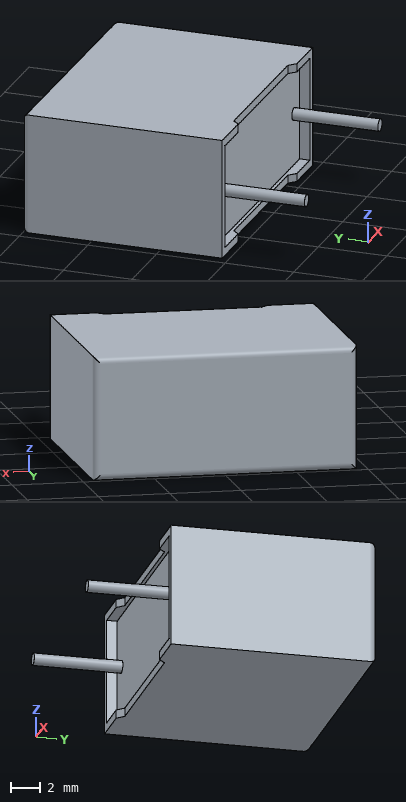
import cadquery as cq

total_length = 20.1
case_width = 18.5
case_height = 8.7
case_length = 14.57
wall = 0.6
back_edge_radius = 0.48

notch_depth = 0.48
notch_mouth_width = 12.02
notch_floor_width = 11.0

resin_recess = 0.75
pin_diameter = 0.88
pin_pitch = 15.0

cavity_width = case_width - 2 * wall
cavity_height = case_height - 2 * wall
cavity_depth = case_length - wall
pin_tip_y = case_length - total_length
pin_length = resin_recess - pin_tip_y


def centred_block(width, height, start_y, length):
    """Block centred on X and Z that runs along +Y from start_y."""
    return cq.Workplane("XY").box(width, length, height, centered=(True, False, True)).translate((0, start_y, 0))


def make_case():
    """Open box with a rounded closed end and a notch across its rim."""
    body = centred_block(case_width, case_height, 0, case_length)
    body = body.faces(">Y").edges().fillet(back_edge_radius)
    cavity = centred_block(cavity_width, cavity_height, 0, cavity_depth)
    notch = (
        cq.Workplane("XY")
        .polyline([
            (-notch_mouth_width / 2, 0),
            (notch_mouth_width / 2, 0),
            (notch_floor_width / 2, notch_depth),
            (-notch_floor_width / 2, notch_depth),
        ])
        .close()
        .extrude(case_height / 2, both=True)
    )
    return body.cut(cavity).cut(notch)


def make_resin():
    """Fill of the cavity, set back from the rim."""
    return centred_block(cavity_width, cavity_height, resin_recess, cavity_depth - resin_recess)


def make_pin(x):
    """Round pin standing on the resin face."""
    return (
        cq.Workplane("XZ", origin=(x, resin_recess, 0))
        .circle(pin_diameter / 2)
        .extrude(pin_length)
    )


case = make_case()
resin = make_resin()
pins = [make_pin(side * pin_pitch / 2) for side in (-1, 1)]

result = cq.Compound.makeCompound([case.val(), resin.val(), *[pin.val() for pin in pins]])